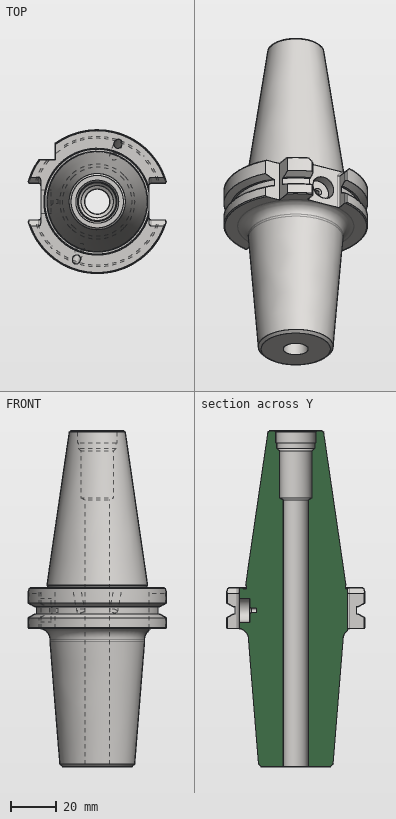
import cadquery as cq
import math


TOTAL_LENGTH = 148.2

TAPER_LENGTH = 68.2
TAPER_SLOPE = 7 / 48
GAUGE_RADIUS = 22.2
SHANK_EDGE = 0.7

RIM_RADIUS = 31.7
FLANGE_TOP = -1.0
FLANGE_BOTTOM = -19.1
FLANGE_EDGE = 0.5
UNDERCUT_RADIUS = 22.0
UNDERCUT_DEPTH = 0.5
UNDERCUT_OUTER_RADIUS = 23.5
GROOVE_RADIUS = 28.0
GROOVE_CENTER = -11.1
GROOVE_STEP_RADIUS = 28.8
GROOVE_FLOOR_HALF = 1.5
GROOVE_STEP_HALF = 1.6
GROOVE_FLANK_SLOPE = math.tan(math.radians(30))
GROOVE_MOUTH_HALF = GROOVE_STEP_HALF + (RIM_RADIUS - GROOVE_STEP_RADIUS) * GROOVE_FLANK_SLOPE

NOSE_BOTTOM = TAPER_LENGTH - TOTAL_LENGTH
COLLAR_RADIUS = 20.9
COLLAR_TOP = -23.9
COLLAR_BOTTOM = -24.9
COLLAR_FILLET = FLANGE_BOTTOM - COLLAR_TOP
NOSE_END_RADIUS = 16.5
NOSE_EDGE = 1.2

THROUGH_RADIUS = 5.5
THREAD_RADIUS = 7.1
THREAD_DEPTH = 29.6
RELIEF_RADIUS = 8.3
RELIEF_DEPTH = 7.9
PILOT_RADIUS = 8.7
PILOT_DEPTH = 5.5
MOUTH_CHAMFER = 0.7
DRILL_CONE_SLOPE = math.tan(math.radians(30))

SLOT_HALF_WIDTH = 8.0
SLOT_FLOOR_LEFT = 24.9
SLOT_FLOOR_RIGHT = 22.8
SLOT_TOP_CHAMFER = 2.7
SLOT_FLOOR_FILLET = 0.9
SLOT_RIM_BEVEL_WIDTH = 0.9
SLOT_RIM_BEVEL_DEPTH = 0.5

NOTCH_OFFSET = 18.5

POCKET_RADIUS = 5.2
POCKET_DEPTH = 4.6
POCKET_PILOT_RADIUS = 0.9
POCKET_PILOT_CHAMFER = 0.7
POCKET_PILOT_DEPTH = 3.0

COOLANT_RADIUS = 1.8
COOLANT_X = 9.2
COOLANT_Y = 25.5
COOLANT_TILT = 30
COOLANT_DEPTH = 11.9

CLEARANCE = 7.4


def make_body():
    """Shank, grooved flange and tapered nose, turned from one half profile."""
    shank_end = GAUGE_RADIUS - TAPER_LENGTH * TAPER_SLOPE
    nose_slope = (COLLAR_RADIUS - NOSE_END_RADIUS) / (COLLAR_BOTTOM - NOSE_BOTTOM)
    arc_share = math.sqrt(0.5)
    return (
        cq.Workplane("XZ")
        .moveTo(0, NOSE_BOTTOM)
        .lineTo(NOSE_END_RADIUS - NOSE_EDGE, NOSE_BOTTOM)
        .lineTo(NOSE_END_RADIUS + NOSE_EDGE * nose_slope, NOSE_BOTTOM + NOSE_EDGE)
        .lineTo(COLLAR_RADIUS, COLLAR_BOTTOM)
        .lineTo(COLLAR_RADIUS, COLLAR_TOP)
        .threePointArc(
            (COLLAR_RADIUS + COLLAR_FILLET * (1 - arc_share), COLLAR_TOP + COLLAR_FILLET * arc_share),
            (COLLAR_RADIUS + COLLAR_FILLET, FLANGE_BOTTOM),
        )
        .lineTo(RIM_RADIUS - FLANGE_EDGE, FLANGE_BOTTOM)
        .lineTo(RIM_RADIUS, FLANGE_BOTTOM + FLANGE_EDGE)
        .lineTo(RIM_RADIUS, GROOVE_CENTER - GROOVE_MOUTH_HALF)
        .lineTo(GROOVE_STEP_RADIUS, GROOVE_CENTER - GROOVE_STEP_HALF)
        .lineTo(GROOVE_RADIUS, GROOVE_CENTER - GROOVE_FLOOR_HALF)
        .lineTo(GROOVE_RADIUS, GROOVE_CENTER + GROOVE_FLOOR_HALF)
        .lineTo(GROOVE_STEP_RADIUS, GROOVE_CENTER + GROOVE_STEP_HALF)
        .lineTo(RIM_RADIUS, GROOVE_CENTER + GROOVE_MOUTH_HALF)
        .lineTo(RIM_RADIUS, FLANGE_TOP - FLANGE_EDGE)
        .lineTo(RIM_RADIUS - FLANGE_EDGE, FLANGE_TOP)
        .lineTo(UNDERCUT_OUTER_RADIUS, FLANGE_TOP)
        .lineTo(UNDERCUT_OUTER_RADIUS - UNDERCUT_DEPTH, FLANGE_TOP - UNDERCUT_DEPTH)
        .lineTo(UNDERCUT_RADIUS, FLANGE_TOP - UNDERCUT_DEPTH)
        .lineTo(UNDERCUT_RADIUS, UNDERCUT_RADIUS - GAUGE_RADIUS)
        .lineTo(GAUGE_RADIUS, 0)
        .lineTo(shank_end + SHANK_EDGE * TAPER_SLOPE, TAPER_LENGTH - SHANK_EDGE)
        .lineTo(shank_end - SHANK_EDGE, TAPER_LENGTH)
        .lineTo(0, TAPER_LENGTH)
        .close()
        .revolve(360, (0, 0, 0), (0, 1, 0))
    )


def make_bore():
    """Stepped bore: pilot, relief and thread core at the shank end, then a through hole."""
    pilot_bottom = TAPER_LENGTH - PILOT_DEPTH
    relief_bottom = TAPER_LENGTH - RELIEF_DEPTH
    thread_top = relief_bottom - (RELIEF_RADIUS - THREAD_RADIUS)
    thread_bottom = TAPER_LENGTH - THREAD_DEPTH
    cone_bottom = thread_bottom - (THREAD_RADIUS - THROUGH_RADIUS) * DRILL_CONE_SLOPE
    return (
        cq.Workplane("XZ")
        .moveTo(0, NOSE_BOTTOM)
        .lineTo(THROUGH_RADIUS, NOSE_BOTTOM)
        .lineTo(THROUGH_RADIUS, cone_bottom)
        .lineTo(THREAD_RADIUS, thread_bottom)
        .lineTo(THREAD_RADIUS, thread_top)
        .lineTo(RELIEF_RADIUS, relief_bottom)
        .lineTo(RELIEF_RADIUS, pilot_bottom)
        .lineTo(PILOT_RADIUS, pilot_bottom)
        .lineTo(PILOT_RADIUS, TAPER_LENGTH - MOUTH_CHAMFER)
        .lineTo(PILOT_RADIUS + MOUTH_CHAMFER, TAPER_LENGTH)
        .lineTo(0, TAPER_LENGTH)
        .close()
        .revolve(360, (0, 0, 0), (0, 1, 0))
    )


def make_slot(floor_distance):
    """Cutter for a drive slot on the +X side, open to the rim and through the flange."""
    flare_bottom = FLANGE_TOP - SLOT_TOP_CHAMFER
    flare_half = SLOT_HALF_WIDTH + SLOT_TOP_CHAMFER
    length = RIM_RADIUS + CLEARANCE - floor_distance
    channel = (
        cq.Workplane("YZ", origin=(floor_distance, 0, 0))
        .moveTo(-SLOT_HALF_WIDTH, FLANGE_BOTTOM - CLEARANCE)
        .lineTo(SLOT_HALF_WIDTH, FLANGE_BOTTOM - CLEARANCE)
        .lineTo(SLOT_HALF_WIDTH, flare_bottom)
        .lineTo(flare_half, FLANGE_TOP)
        .lineTo(-flare_half, FLANGE_TOP)
        .lineTo(-SLOT_HALF_WIDTH, flare_bottom)
        .close()
        .extrude(length)
        .faces("<X")
        .edges("not(|Y)")
        .fillet(SLOT_FLOOR_FILLET)
    )
    bevelled_half = SLOT_HALF_WIDTH + SLOT_RIM_BEVEL_WIDTH
    bevel_end = math.sqrt(RIM_RADIUS**2 - bevelled_half**2)
    bevel_start = bevel_end - SLOT_RIM_BEVEL_DEPTH
    rim_bevel = (
        cq.Workplane("XY", origin=(0, 0, FLANGE_BOTTOM))
        .moveTo(bevel_start, -SLOT_HALF_WIDTH)
        .lineTo(bevel_end, -bevelled_half)
        .lineTo(RIM_RADIUS, -bevelled_half)
        .lineTo(RIM_RADIUS, bevelled_half)
        .lineTo(bevel_end, bevelled_half)
        .lineTo(bevel_start, SLOT_HALF_WIDTH)
        .close()
        .extrude(FLANGE_TOP - FLANGE_BOTTOM)
    )
    return channel.union(rim_bevel)


def make_notch():
    """Square corner cut through the flange in the -X, +Y quadrant."""
    return (
        cq.Workplane("XY", origin=(0, 0, FLANGE_BOTTOM))
        .moveTo(-NOTCH_OFFSET, NOTCH_OFFSET)
        .rect(-RIM_RADIUS, RIM_RADIUS, centered=False)
        .extrude(FLANGE_TOP - FLANGE_BOTTOM)
    )


def make_pocket():
    """Stepped round pocket in the floor of the left slot, centred on the groove."""
    floor = cq.Workplane("YZ", origin=(-SLOT_FLOOR_LEFT, 0, GROOVE_CENTER))
    pocket = floor.circle(POCKET_RADIUS).extrude(POCKET_DEPTH)
    pilot = floor.circle(POCKET_PILOT_RADIUS).extrude(POCKET_DEPTH + POCKET_PILOT_DEPTH)
    countersink = (
        floor.workplane(offset=POCKET_DEPTH)
        .circle(POCKET_PILOT_RADIUS + POCKET_PILOT_CHAMFER)
        .workplane(offset=POCKET_PILOT_CHAMFER)
        .circle(POCKET_PILOT_RADIUS)
        .loft()
    )
    return pocket.union(pilot).union(countersink)


def make_coolant_hole():
    """Inclined hole on the +Y side of the flange, entering through its top face."""
    tilt = math.radians(COOLANT_TILT)
    inward = cq.Vector(-COOLANT_X, -COOLANT_Y, 0).normalized()
    direction = inward * math.sin(tilt) - cq.Vector(0, 0, math.cos(tilt))
    entry = cq.Vector(COOLANT_X, COOLANT_Y, FLANGE_TOP)
    start = entry - direction * COOLANT_RADIUS
    length = COOLANT_DEPTH + COOLANT_RADIUS
    return cq.Workplane(obj=cq.Solid.makeCylinder(COOLANT_RADIUS, length, start, direction))


coolant_hole = make_coolant_hole()

result = (
    make_body()
    .cut(make_slot(SLOT_FLOOR_RIGHT))
    .cut(make_slot(SLOT_FLOOR_LEFT).rotate((0, 0, 0), (0, 0, 1), 180))
    .cut(make_notch())
    .cut(make_pocket())
    .cut(coolant_hole)
    .cut(coolant_hole.rotate((0, 0, 0), (0, 0, 1), 180))
    .cut(make_bore())
)